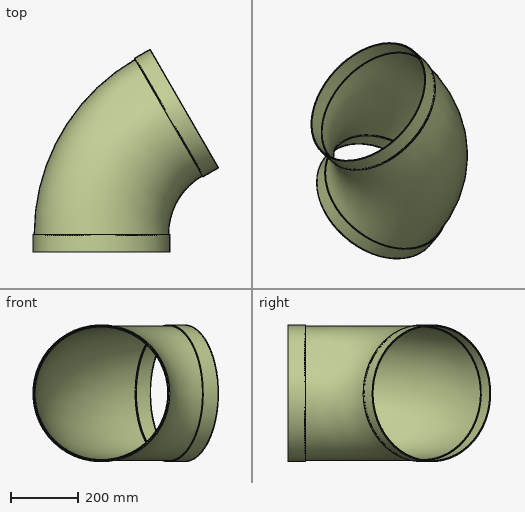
import cadquery as cq
import math

bend_angle = 60.0
bend_radius = 400.0
pipe_diameter = 400.0
collar_diameter = 406.5
wall = 3.0
lip_length = 3.0
overall_depth = 602.0

pipe_bore = pipe_diameter - 2 * wall
angle = math.radians(bend_angle)

bend_reach = bend_radius * math.sin(angle)
rim_reach = collar_diameter / 2 * math.sin(angle)
collar_length = (overall_depth - bend_reach - rim_reach) / (1 + math.cos(angle))

start_plane = cq.Plane(origin=(0, 0, 0), xDir=(1, 0, 0), normal=(0, -1, 0))
end_plane = cq.Plane(
    origin=(bend_radius * (1 - math.cos(angle)), bend_reach, 0),
    xDir=(0, 0, 1),
    normal=(math.sin(angle), math.cos(angle), 0),
)


def make_bend():
    """Thin-walled pipe swept around a vertical axis at the bend centre."""
    return (
        cq.Workplane(start_plane)
        .circle(pipe_diameter / 2)
        .circle(pipe_bore / 2)
        .revolve(bend_angle, (bend_radius, 6, 0), (bend_radius, -6, 0))
    )


def make_ring(plane, outer_diameter, inner_diameter, length):
    """Straight ring that extends outwards from the given plane."""
    return (
        cq.Workplane(plane)
        .circle(outer_diameter / 2)
        .circle(inner_diameter / 2)
        .extrude(length)
    )


def make_collar(plane):
    """Socket sized to the pipe's outside, with a short lip of pipe that joins it to the bend."""
    socket = make_ring(plane, collar_diameter, pipe_diameter, collar_length)
    lip = make_ring(plane, pipe_diameter, pipe_bore, lip_length)
    return socket.union(lip)


result = make_bend().union(make_collar(start_plane)).union(make_collar(end_plane))